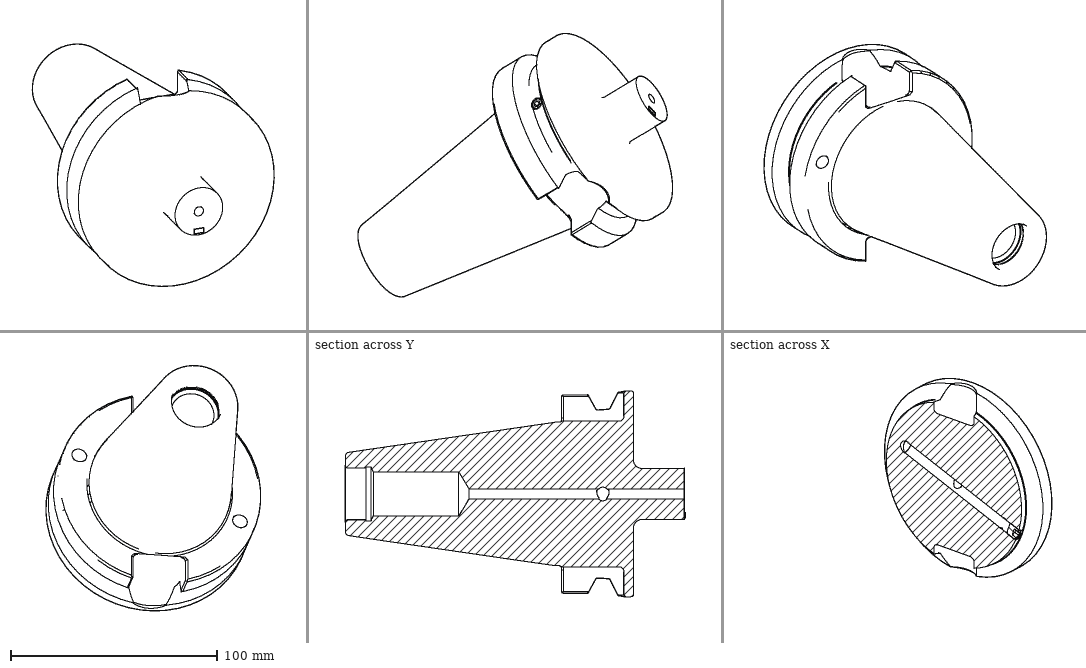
import cadquery as cq
import math

taper_length = 101.8
gauge_radius = 34.925
taper_slope = 7 / 48
taper_tip_radius = gauge_radius - taper_slope * taper_length
taper_tip_round = 2.0

flange_start = 3.0
flange_end = 38.0
flange_radius = 50.0
flange_edge_round = 1.0
neck_round = 1.0
groove_center = 23.1
groove_mouth_width = 14.75
groove_floor_radius = 42.8
groove_flank_angle = 60.0
groove_front_round = 0.9
groove_back_round = 0.5

groove_start = groove_center - groove_mouth_width / 2
groove_end = groove_center + groove_mouth_width / 2

nose_end = 62.6
nose_radius = 12.5
nose_base_round = 4.0
pad_width = 5.0
pad_height = 2.5
pad_thickness = 0.4
pad_z = -10.3

bore_radius = 12.5
bore_depth = 12.5
bore_mouth_round = 1.2
bore_relief_radius = 13.0
bore_relief_width = 2.4
countersink_half_angle = 60.0
inner_bore_radius = 10.6
inner_bore_depth = 55.0
drill_half_angle = 59.0
coolant_hole_radius = 2.4

slot_width = 25.7
slot_floor_height = 35.4
slot_center_x = 20.3
slot_floor_round = 2.2
slot_edge_chamfer = 1.0
slot_bevel_corner = 1.4

channel_angle = 20.0
channel_mouth_distance = 42.1
channel_radius = 3.25
channel_tilt = 27.0
screw_angle = channel_angle + 180
screw_x = groove_center
screw_radius = 3.0
screw_length = 6.0
screw_recess = 0.4
screw_end_chamfer = 0.5
socket_width = 3.0
socket_depth = 2.5


def revolve_about_x(profile):
    return profile.close().revolve(360, (0, 0, 0), (1, 0, 0))


def round_at_x(body, x, radius, size):
    """Fillet the circular edge at the given place along the axis and radius."""
    reach = 0.05

    def is_ring(edge):
        if edge.geomType() != "CIRCLE":
            return False
        return abs(edge.arcCenter().x - x) < reach and abs(edge.radius() - radius) < reach

    return body.newObject([edge for edge in body.edges().vals() if is_ring(edge)]).fillet(size)


def make_blank():
    """The turned outside: taper, flange with V-groove, and nose stub."""
    flank_run = (flange_radius - groove_floor_radius) / math.tan(math.radians(groove_flank_angle))
    floor_start = groove_start + flank_run
    floor_end = groove_end - flank_run
    profile = (
        cq.Workplane("XZ")
        .moveTo(-taper_length, 0)
        .lineTo(-taper_length, taper_tip_radius)
        .lineTo(0, gauge_radius)
        .lineTo(flange_start, gauge_radius)
        .lineTo(flange_start, flange_radius)
        .lineTo(groove_start, flange_radius)
        .lineTo(floor_start, groove_floor_radius)
        .lineTo(floor_end, groove_floor_radius)
        .lineTo(groove_end, flange_radius)
        .lineTo(flange_end, flange_radius)
        .lineTo(flange_end, nose_radius)
        .lineTo(nose_end, nose_radius)
        .lineTo(nose_end, 0)
    )
    blank = revolve_about_x(profile)
    blank = round_at_x(blank, -taper_length, taper_tip_radius, taper_tip_round)
    blank = round_at_x(blank, flange_start, gauge_radius, neck_round)
    for x in (flange_start, flange_end):
        blank = round_at_x(blank, x, flange_radius, flange_edge_round)
    blank = round_at_x(blank, floor_start, groove_floor_radius, groove_front_round)
    blank = round_at_x(blank, floor_end, groove_floor_radius, groove_back_round)
    return round_at_x(blank, flange_end, nose_radius, nose_base_round)


def make_pad():
    """Thin plate that rests on the nose's end face."""
    return cq.Workplane("XY").box(
        pad_thickness, pad_width, pad_height, centered=(False, True, True)
    ).translate((nose_end, 0, pad_z))


def make_bore():
    """Stepped bore with a drill-point end, and the small hole that runs on through the nose."""
    mouth = -taper_length
    step = mouth + bore_depth
    cone_start = mouth + inner_bore_depth
    cone_run = (inner_bore_radius - coolant_hole_radius) / math.tan(math.radians(drill_half_angle))
    countersink_run = (bore_radius - inner_bore_radius) / math.tan(math.radians(countersink_half_angle))
    profile = (
        cq.Workplane("XZ")
        .moveTo(mouth, 0)
        .lineTo(mouth, bore_radius + bore_mouth_round)
        .radiusArc((mouth + bore_mouth_round, bore_radius), -bore_mouth_round)
        .lineTo(step - bore_relief_width, bore_radius)
        .lineTo(step - bore_relief_width, bore_relief_radius)
        .lineTo(step, bore_relief_radius)
        .lineTo(step, bore_radius)
        .lineTo(step + countersink_run, inner_bore_radius)
        .lineTo(cone_start, inner_bore_radius)
        .lineTo(cone_start + cone_run, coolant_hole_radius)
        .lineTo(nose_end, coolant_hole_radius)
        .lineTo(nose_end, 0)
    )
    return revolve_about_x(profile)


def make_slot():
    """Cutter for the drive slot on the +Z side, round-ended toward the nose."""
    half = slot_width / 2
    depth = flange_radius - slot_floor_height
    slot = (
        cq.Workplane("XY", origin=(0, 0, slot_floor_height))
        .moveTo(0, -half)
        .lineTo(slot_center_x, -half)
        .threePointArc((slot_center_x + half, 0), (slot_center_x, half))
        .lineTo(0, half)
        .close()
        .extrude(depth)
    )
    return slot.faces("<Z").edges("not <X").fillet(slot_floor_round)


def make_slot_front_bevel():
    """Cutter that breaks the slot's two upright edges at the flange's front face."""
    half = slot_width / 2
    rise = flange_radius - slot_floor_height

    def outline(plane, half_width):
        corner = slot_bevel_corner
        return (
            plane.moveTo(-half_width, rise)
            .lineTo(-half_width, corner)
            .lineTo(-half_width + corner, 0)
            .lineTo(half_width - corner, 0)
            .lineTo(half_width, corner)
            .lineTo(half_width, rise)
            .close()
        )

    wide = outline(cq.Workplane("YZ", origin=(flange_start, 0, slot_floor_height)), half + slot_edge_chamfer)
    return outline(wide.workplane(offset=slot_edge_chamfer), half).loft(ruled=True)


def make_slot_side_bevels():
    """Cutter that breaks the slot's two straight edges on the front part of the flange."""
    half = slot_width / 2
    edge_height = math.sqrt(flange_radius**2 - half**2)
    return (
        cq.Workplane("YZ")
        .moveTo(-half, edge_height - slot_edge_chamfer)
        .lineTo(half, edge_height - slot_edge_chamfer)
        .lineTo(half + slot_edge_chamfer, edge_height)
        .lineTo(half + slot_edge_chamfer, flange_radius)
        .lineTo(-half - slot_edge_chamfer, flange_radius)
        .lineTo(-half - slot_edge_chamfer, edge_height)
        .close()
        .extrude(groove_start)
    )


def make_slot_end_bevel():
    """Conical cutter that breaks the rounded edge on the rear part of the flange."""
    half = slot_width / 2
    return cq.Workplane(obj=cq.Solid.makeCone(
        half,
        half + slot_edge_chamfer,
        slot_edge_chamfer,
        cq.Vector(slot_center_x, 0, flange_radius - slot_edge_chamfer),
    ))


def make_channel():
    """Tilted coolant channel from the flange's front face to the cross hole, on the +Y side."""
    tilt = math.radians(channel_tilt)
    length = (screw_x - flange_start) / math.cos(tilt)
    lead = 2 * channel_radius
    direction = cq.Vector(math.cos(tilt), -math.sin(tilt), 0)
    start = cq.Vector(flange_start, channel_mouth_distance, 0) - direction * lead
    return cq.Workplane(obj=cq.Solid.makeCylinder(channel_radius, length + lead, start, direction))


def make_cross_hole():
    """Hole from the groove floor on the +Y side, across the axis, to the far channel's inner end."""
    channel_drop = (screw_x - flange_start) * math.tan(math.radians(channel_tilt))
    far_end = channel_mouth_distance - channel_drop
    return (
        cq.Workplane("XZ", origin=(screw_x, -far_end, 0))
        .circle(screw_radius)
        .extrude(-(far_end + flange_radius))
    )


def make_screw():
    """Set screw with a hexagon socket, along +Y."""
    head = groove_floor_radius - screw_recess
    body = (
        cq.Workplane("XZ", origin=(screw_x, head - screw_length, 0))
        .circle(screw_radius)
        .extrude(-screw_length)
        .faces("<Y or >Y")
        .chamfer(screw_end_chamfer)
    )
    socket = (
        cq.Workplane("XZ", origin=(screw_x, head - socket_depth, 0))
        .polygon(6, socket_width, circumscribed=True)
        .extrude(-socket_depth)
    )
    return body.cut(socket)


def turn_about_x(body, angle):
    return body.rotate((0, 0, 0), (1, 0, 0), angle)


holder = make_blank().cut(make_bore())
for half_turn in (0, 180):
    for cutter in (make_slot(), make_slot_front_bevel(), make_slot_side_bevels(), make_slot_end_bevel()):
        holder = holder.cut(turn_about_x(cutter, half_turn))
    holder = holder.cut(turn_about_x(make_channel(), channel_angle + half_turn))
holder = holder.cut(turn_about_x(make_cross_hole(), screw_angle))
screw = turn_about_x(make_screw(), screw_angle)
pad = make_pad()

result = cq.Compound.makeCompound([body.solids().val() for body in (holder, screw, pad)])